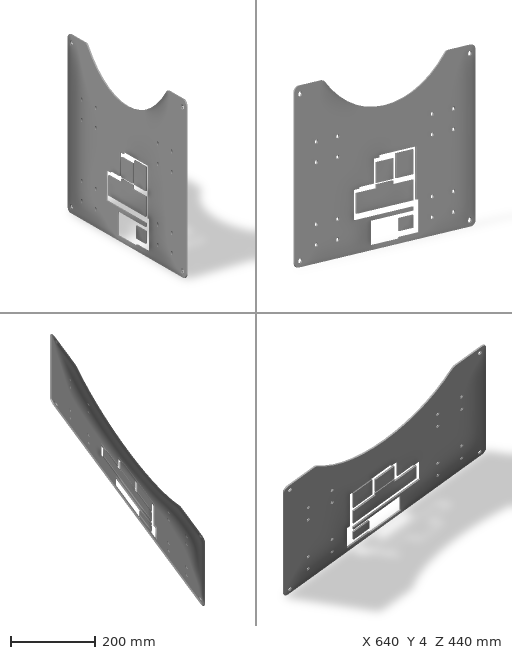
import cadquery as cq


WIDTH = 640.0
HEIGHT = 440.0
THICKNESS = 4.0
CORNER_RADIUS = 15.0

NOTCH_RADIUS = 291.0
NOTCH_DEPTH = 97.0
NOTCH_CORNER_RADIUS = 15.0

CORNER_HOLE_DIAMETER = 13.0
CORNER_HOLE_X = 300.0
CORNER_HOLE_LEVELS = (15.5, 420.0)

SMALL_HOLE_DIAMETER = 10.0
GROUP_X = 205.0
GROUP_LEVELS = (70.0, 270.0)
GROUP_PITCH_X = 75.5
GROUP_PITCH_Z = 50.0

RIGHT_EDGE = 100.0
TALL_PLATE_LEFT = 40.0
TALL_PLATE_TOP = 220.0
SHORT_PLATE_WIDTH = 60.0
SHORT_PLATE_TOP = 210.0
UPPER_PLATES_BOTTOM = 160.0
LONG_PLATE_BOTTOM = 96.5
LONG_PLATE_TOP = 146.5
LONG_PLATE_TAB_TOP = 156.0
SMALL_PLATE_LEFT = 50.0
SMALL_PLATE_BOTTOM = 30.0
SMALL_PLATE_TOP = 61.5

OPENING_LEFT = -111.0
OPENING_SHOULDER_X = -90.0
OPENING_SHOULDER_Z = 156.0
OPENING_NECK_LEFT = -40.0
OPENING_STEP_X = -20.0
OPENING_TOP = 226.0
OPENING_RIGHT = 111.0
OPENING_LOWER_RIGHT = 120.0
OPENING_LOWER_LEFT = -50.0
OPENING_BOTTOM = 11.5
OPENING_BOTTOM_STEP = 15.5
FINGER_TOP = 81.0
FINGER_BOTTOM = 72.0


def extrude_outline(points):
    """Extrude a closed XZ outline through the plate thickness."""
    return cq.Workplane("XZ").polyline(points).close().extrude(THICKNESS / 2, both=True)


def rectangular_plate(left, right, bottom, top):
    return extrude_outline([(left, bottom), (right, bottom), (right, top), (left, top)])


def hole_cutters(centers, diameter):
    return cq.Workplane("XZ").pushPoints(centers).circle(diameter / 2).extrude(THICKNESS, both=True)


def make_blank():
    """Rounded rectangle with a circular notch whose mouth corners are rounded."""
    blank = rectangular_plate(-WIDTH / 2, WIDTH / 2, 0, HEIGHT)
    blank = blank.edges("|Y").fillet(CORNER_RADIUS)
    notch_center_z = HEIGHT - NOTCH_DEPTH + NOTCH_RADIUS
    notch = hole_cutters([(0, notch_center_z)], 2 * NOTCH_RADIUS)
    blank = blank.cut(notch)
    half_height = HEIGHT / 2
    mouth_zone = cq.selectors.BoxSelector(
        (-WIDTH / 2 + 2 * CORNER_RADIUS, -THICKNESS, half_height),
        (WIDTH / 2 - 2 * CORNER_RADIUS, THICKNESS, HEIGHT + THICKNESS),
    )
    return blank.edges("|Y").edges(mouth_zone).fillet(NOTCH_CORNER_RADIUS)


def make_opening():
    return extrude_outline([
        (OPENING_LEFT, FINGER_TOP),
        (OPENING_LEFT, OPENING_SHOULDER_Z),
        (OPENING_SHOULDER_X, OPENING_SHOULDER_Z),
        (OPENING_SHOULDER_X, UPPER_PLATES_BOTTOM),
        (OPENING_NECK_LEFT, UPPER_PLATES_BOTTOM),
        (OPENING_NECK_LEFT, TALL_PLATE_TOP),
        (OPENING_STEP_X, TALL_PLATE_TOP),
        (OPENING_STEP_X, OPENING_TOP),
        (OPENING_RIGHT, OPENING_TOP),
        (OPENING_RIGHT, LONG_PLATE_BOTTOM),
        (OPENING_LOWER_RIGHT, LONG_PLATE_BOTTOM),
        (OPENING_LOWER_RIGHT, OPENING_BOTTOM_STEP),
        (SMALL_PLATE_LEFT, OPENING_BOTTOM_STEP),
        (SMALL_PLATE_LEFT, OPENING_BOTTOM),
        (OPENING_LOWER_LEFT, OPENING_BOTTOM),
        (OPENING_LOWER_LEFT, FINGER_BOTTOM),
        (RIGHT_EDGE, FINGER_BOTTOM),
        (RIGHT_EDGE, FINGER_TOP),
    ])


def make_main_plate():
    corner_centers = [
        (side * CORNER_HOLE_X, level)
        for side in (-1, 1)
        for level in CORNER_HOLE_LEVELS
    ]
    small_centers = [
        (side * GROUP_X + column * GROUP_PITCH_X / 2, level + row * GROUP_PITCH_Z / 2)
        for side in (-1, 1)
        for level in GROUP_LEVELS
        for column in (-1, 1)
        for row in (-1, 1)
    ]
    plate = make_blank().cut(make_opening())
    plate = plate.cut(hole_cutters(corner_centers, CORNER_HOLE_DIAMETER))
    return plate.cut(hole_cutters(small_centers, SMALL_HOLE_DIAMETER))


def make_long_plate():
    """Long plate with a raised tab as wide as the short plate above it."""
    tab_half_width = SHORT_PLATE_WIDTH / 2
    return extrude_outline([
        (-RIGHT_EDGE, LONG_PLATE_BOTTOM),
        (RIGHT_EDGE, LONG_PLATE_BOTTOM),
        (RIGHT_EDGE, LONG_PLATE_TOP),
        (tab_half_width, LONG_PLATE_TOP),
        (tab_half_width, LONG_PLATE_TAB_TOP),
        (-tab_half_width, LONG_PLATE_TAB_TOP),
        (-tab_half_width, LONG_PLATE_TOP),
        (-RIGHT_EDGE, LONG_PLATE_TOP),
    ])


main_plate = make_main_plate()
long_plate = make_long_plate()
short_plate = rectangular_plate(
    -SHORT_PLATE_WIDTH / 2, SHORT_PLATE_WIDTH / 2, UPPER_PLATES_BOTTOM, SHORT_PLATE_TOP
)
tall_plate = rectangular_plate(TALL_PLATE_LEFT, RIGHT_EDGE, UPPER_PLATES_BOTTOM, TALL_PLATE_TOP)
small_plate = rectangular_plate(SMALL_PLATE_LEFT, RIGHT_EDGE, SMALL_PLATE_BOTTOM, SMALL_PLATE_TOP)

result = cq.Compound.makeCompound([
    main_plate.val(),
    long_plate.val(),
    short_plate.val(),
    tall_plate.val(),
    small_plate.val(),
])